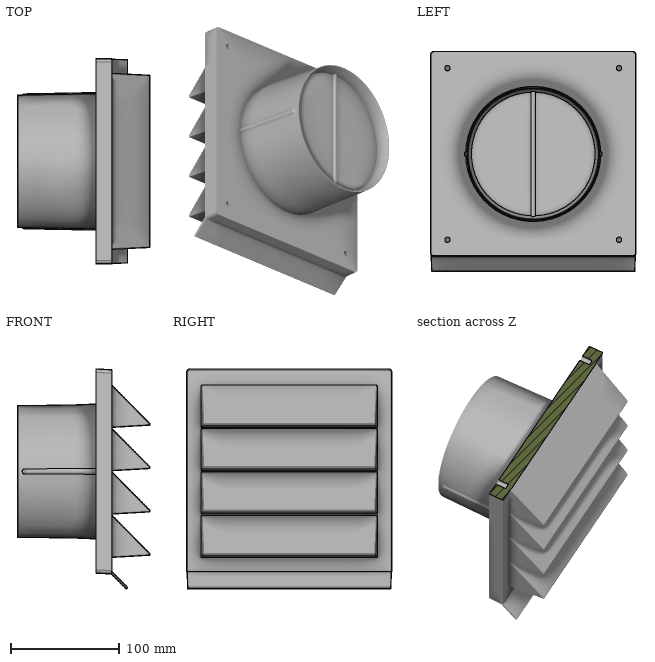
import cadquery as cq
import math


plate_size = 190.0
plate_thickness = 14.9
plate_fall = 0.8
plate_corner_radius = 3.3
plate_front_fillet = 0.6

duct_length = 72.5
duct_base_radius = 62.5
duct_rim_radius = 61.3

mouth_depth = 11.8
mouth_rim_radius = 60.5
mouth_neck_radius = 59.9
mouth_chamfer_depth = 1.6
mouth_floor_radius = 57.2
hinge_bar_radius = 2.2

rib_radius = 3.3
rib_height = 1.2
rib_setback = 3.5

hole_diameter = 4.9
hole_depth = 10.2
hole_pitch = 158.8

louvre_count = 4
louvre_pitch = 40.1
louvre_reach = 35.0
louvre_top_z = 79.8
louvre_height = 39.0
louvre_underside_rise = 2.0
louvre_nose_height = 1.6
louvre_base_width = 162.9
louvre_draft = 2.7
louvre_edge_fillet = 0.71

overall_height = 203.5
lip_thickness = 2.0
lip_edge_fillet = 0.5
lip_root_height = 1.5
lip_base_width = 189.3
lip_end_width = 188.1

half_plate = plate_size / 2


def make_plate():
    """Plate with rounded corners and a small fillet around its front face."""
    profile = [
        (0, half_plate),
        (plate_thickness, half_plate - plate_fall),
        (plate_thickness, -half_plate),
        (0, plate_fall - half_plate),
    ]
    plate = cq.Workplane("XZ").polyline(profile).close().extrude(half_plate, both=True)
    plate = plate.edges("(not |Y) and (not |Z)").fillet(plate_corner_radius)
    return plate.faces(">X").edges().fillet(plate_front_fillet)


def make_duct():
    profile = [
        (0, 0),
        (0, duct_base_radius),
        (-duct_length, duct_rim_radius),
        (-duct_length, 0),
    ]
    return cq.Workplane("XY").polyline(profile).close().revolve(360, (0, 0), (1, 0))


def make_rib(side):
    """Round-ended rib that follows the taper of the duct; side is +1 or -1 along Y."""
    base_y = side * (duct_base_radius + rib_height - rib_radius)
    end_y = side * (duct_rim_radius + rib_height - rib_radius)
    end_x = rib_setback + rib_radius - duct_length
    end = cq.Vector(end_x, end_y, 0)
    axis = cq.Vector(0, base_y, 0) - end
    rod = cq.Workplane(cq.Solid.makeCylinder(rib_radius, axis.Length, end, axis))
    dome = cq.Workplane("XY").sphere(rib_radius).translate(end)
    return rod.union(dome)


def make_mouth():
    """Cutter for the chamfered, narrowing mouth, leaving the hinge bar standing on its floor."""
    floor_x = mouth_depth - duct_length
    profile = [
        (-duct_length, 0),
        (-duct_length, mouth_rim_radius),
        (mouth_chamfer_depth - duct_length, mouth_neck_radius),
        (floor_x, mouth_floor_radius),
        (floor_x, 0),
    ]
    mouth = cq.Workplane("XY").polyline(profile).close().revolve(360, (0, 0), (1, 0))
    bar = (
        cq.Workplane("XY")
        .center(floor_x, 0)
        .circle(hinge_bar_radius)
        .extrude(duct_rim_radius, both=True)
    )
    return mouth.cut(bar)


def make_louvre(top_z):
    """Wedge under a sloping top, with cheeks that draw in towards its nose."""
    tip_x = plate_thickness + louvre_reach
    bottom_z = top_z - louvre_height
    nose_z = bottom_z + louvre_underside_rise
    profile = [
        (plate_thickness, top_z),
        (tip_x, nose_z + louvre_nose_height),
        (tip_x, nose_z),
        (plate_thickness, bottom_z),
    ]
    wedge = cq.Workplane("XZ").polyline(profile).close().extrude(louvre_base_width, both=True)
    envelope = (
        cq.Workplane("YZ")
        .workplane(offset=plate_thickness)
        .center(0, top_z - louvre_height / 2)
        .rect(louvre_base_width, 2 * louvre_height)
        .extrude(louvre_reach, taper=louvre_draft)
    )
    louvre = wedge.intersect(envelope)
    return louvre.edges("not <X").fillet(louvre_edge_fillet)


def make_lip():
    """Lip that widens from its lower end up to the front bottom edge of the plate."""
    lip_end_z = half_plate - overall_height - lip_edge_fillet * (math.sqrt(2) - 1)
    offset = lip_thickness * math.sqrt(2)
    root_x = plate_thickness - plate_front_fillet
    root_z = lip_root_height - half_plate
    length_x = root_z - offset / 2 - lip_end_z
    profile = [
        (root_x, root_z + offset / 2),
        (root_x, root_z - offset / 2),
        (root_x + length_x, lip_end_z),
        (root_x + length_x + offset / 2, lip_end_z + offset / 2),
    ]
    strip = cq.Workplane("XZ").polyline(profile).close().extrude(half_plate, both=True)
    outline = [
        (-lip_base_width / 2, root_z + offset),
        (lip_base_width / 2, root_z + offset),
        (lip_end_width / 2, lip_end_z),
        (-lip_end_width / 2, lip_end_z),
    ]
    envelope = cq.Workplane("YZ").polyline(outline).close().extrude(overall_height)
    return strip.intersect(envelope).edges().fillet(lip_edge_fillet)


def make_screw_holes():
    return (
        cq.Workplane("YZ")
        .rect(hole_pitch, hole_pitch, forConstruction=True)
        .vertices()
        .circle(hole_diameter / 2)
        .extrude(hole_depth)
    )


result = make_plate().union(make_duct())
for side in (1, -1):
    result = result.union(make_rib(side))
result = result.cut(make_mouth())
for index in range(louvre_count):
    result = result.union(make_louvre(louvre_top_z - index * louvre_pitch))
result = result.union(make_lip()).cut(make_screw_holes())